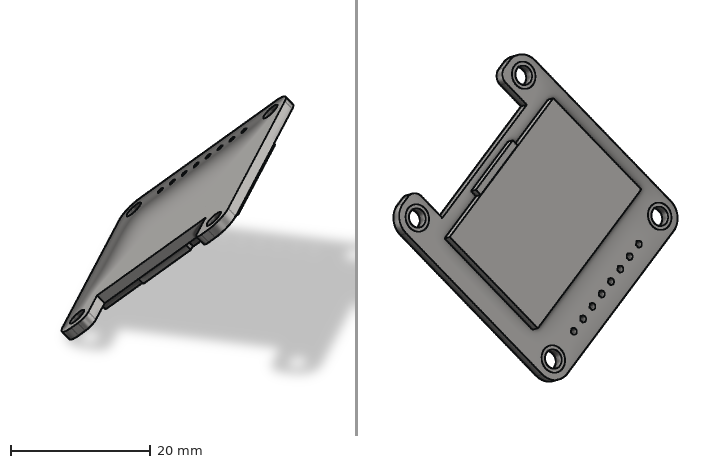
import cadquery as cq

board_width = 35.0
board_length = 35.55
board_thickness = 1.6
tilt_angle = -45.0

corner_radius = 3.05
leg_width = 6.05
notch_depth = 6.1
leg_inner_radius = 1.6

mount_hole_diameter = 2.8
pad_diameter = 4.0
pad_thickness = 0.05
mount_x = board_width / 2 - corner_radius
mount_y = board_length / 2 - corner_radius
mount_points = [(sx * mount_x, sy * mount_y) for sx in (-1, 1) for sy in (-1, 1)]

pin_count = 8
pin_pitch = 2.52
pin_hole_diameter = 1.0

module_width = 28.1
module_offset = 0.5
module_height = 1.42
module_setback = 2.15
module_front = -board_length / 2 + notch_depth + module_setback
module_length = -2 * module_front

connector_width = 10.03
connector_height = 1.3
connector_depth = 1.05


def box_from(width, length, height, x_center, y_start, z_start):
    """Box centred in X that grows from the given Y and Z."""
    box = cq.Workplane("XY").box(width, length, height, centered=(True, False, False))
    return box.translate((x_center, y_start, z_start))


def make_board():
    """Rounded board with its top face at half the thickness above Z = 0."""
    board = cq.Workplane("XY").box(board_width, board_length, board_thickness)
    board = board.edges("|Z").fillet(corner_radius)
    notch_width = board_width - 2 * leg_width
    notch = box_from(notch_width, notch_depth, board_thickness,
                     0, -board_length / 2, -board_thickness / 2)
    board = board.cut(notch)
    inner_leg_corners = cq.selectors.BoxSelector(
        (-notch_width / 2 - 0.35, -board_length / 2 - 0.35, -board_thickness),
        (notch_width / 2 + 0.35, -board_length / 2 + 0.35, board_thickness),
    )
    return board.edges("|Z").edges(inner_leg_corners).fillet(leg_inner_radius)


def make_pads():
    """Thin round pads below the mounting holes."""
    pads = cq.Workplane("XY", origin=(0, 0, -board_thickness / 2))
    return pads.pushPoints(mount_points).circle(pad_diameter / 2).extrude(-pad_thickness)


def make_module():
    """Flat block below the board with a narrower connector at its front."""
    board_bottom = -board_thickness / 2
    module = box_from(module_width, module_length, module_height,
                      module_offset, module_front, board_bottom - module_height)
    connector = box_from(connector_width, connector_depth, connector_height,
                         0, module_front - connector_depth, board_bottom - connector_height)
    return module.union(connector)


def make_holes():
    """Cutters for the mounting holes and the row of pin holes."""
    cutter_height = board_thickness + 2 * pad_thickness
    base = cq.Workplane("XY", origin=(0, 0, -cutter_height / 2))
    mounts = base.pushPoints(mount_points).circle(mount_hole_diameter / 2).extrude(cutter_height)
    pin_points = [((i - (pin_count - 1) / 2) * pin_pitch, mount_y) for i in range(pin_count)]
    pins = base.pushPoints(pin_points).circle(pin_hole_diameter / 2).extrude(cutter_height)
    return mounts.union(pins)


flat_part = make_board().union(make_pads()).union(make_module()).cut(make_holes())
result = flat_part.rotate((0, 0, 0), (0, 1, 0), tilt_angle)